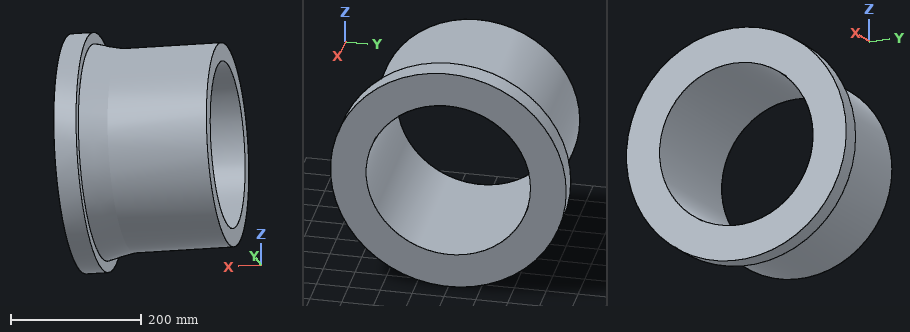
import cadquery as cq

total_length = 234.0
collar_thickness = 35.0
cone_length = 44.0
pipe_length = total_length - collar_thickness - cone_length

collar_diameter = 370
cone_end_diameter = 335.0
pipe_diameter = 315.0
bore_diameter = 258.0

bore_radius = bore_diameter / 2
pipe_radius = pipe_diameter / 2
collar_start = pipe_length + cone_length

half_section = (
    cq.Workplane("XY")
    .moveTo(0, bore_radius)
    .lineTo(0, pipe_radius)
    .lineTo(pipe_length, pipe_radius)
    .lineTo(collar_start, cone_end_diameter / 2)
    .lineTo(collar_start, collar_diameter / 2)
    .lineTo(total_length, collar_diameter / 2)
    .lineTo(total_length, bore_radius)
    .close()
)

result = half_section.revolve(360, (0, 0, 0), (1, 0, 0))